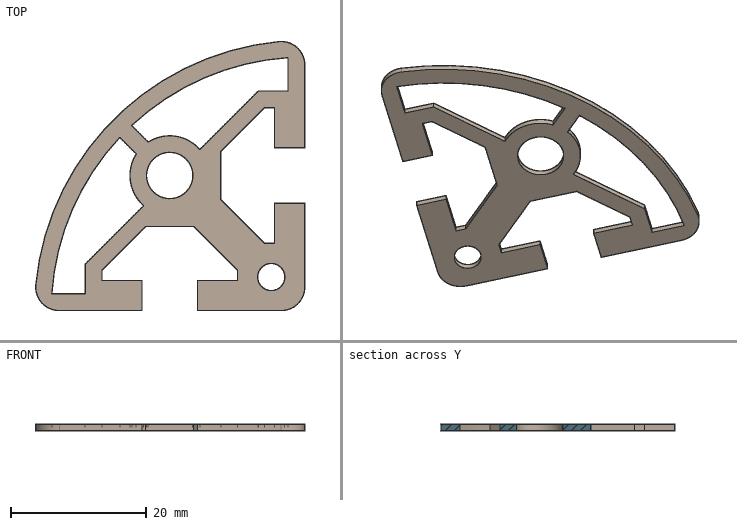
import cadquery as cq
import math

side = 39.82
thickness = 1.0
corner_radius = 3.5
outer_radius = corner_radius + math.hypot(side - corner_radius, corner_radius)

core = 20.0
core_hole_diameter = 6.8
core_boss_radius = 5.9
corner_hole_diameter = 4.0
corner_hole_offset = 4.98

slot_opening = 8.15
slot_inner_width = 20.0
slot_floor_width = 7.1
lip_thickness = 4.5
slot_shoulder_depth = 5.97
slot_depth = slot_shoulder_depth + (slot_inner_width - slot_floor_width) / 2

wall = 2.5
spoke_width = 2.5
pocket_floor = 32.5
pocket_floor_end = 6.9


def quarter_disc(radius):
    return (
        cq.Workplane("XY")
        .lineTo(-radius, 0)
        .radiusArc((0, radius), radius)
        .close()
        .extrude(thickness)
    )


def side_slot():
    """T-slot opening through the flat +X side."""
    half_profile = [
        (0, slot_opening / 2),
        (-lip_thickness, slot_opening / 2),
        (-lip_thickness, slot_inner_width / 2),
        (-slot_shoulder_depth, slot_inner_width / 2),
        (-slot_depth, slot_floor_width / 2),
    ]
    mirrored = [(x, -y) for x, y in reversed(half_profile)]
    return (
        cq.Workplane("XY", origin=(0, core, 0))
        .polyline(half_profile + mirrored)
        .close()
        .extrude(thickness)
    )


def swap_sides(body):
    """Mirror a body about the vertical plane y = -x."""
    return body.rotate((0, 0, 0), (0, 0, 1), 90).mirror("XZ")


def arc_pockets():
    """Openings behind the curved wall, split by the core boss and its spoke."""
    outline = [
        (-wall, side),
        (-wall, pocket_floor),
        (-pocket_floor_end, pocket_floor),
        (-pocket_floor, pocket_floor_end),
        (-pocket_floor, wall),
        (-side, wall),
        (-side, side),
    ]
    pockets = cq.Workplane("XY").polyline(outline).close().extrude(thickness)
    pockets = pockets.intersect(quarter_disc(outer_radius - wall))
    boss = cq.Workplane("XY").center(-core, core).circle(core_boss_radius).extrude(thickness)
    spoke = (
        cq.Workplane("XY", origin=(-core, core, 0))
        .transformed(rotate=(0, 0, 135))
        .rect(side, spoke_width)
        .extrude(thickness)
    )
    return pockets.cut(boss).cut(spoke)


def round_hole(offset, diameter):
    """Through hole on the symmetry line, equally far from both flat sides."""
    return cq.Workplane("XY").center(-offset, offset).circle(diameter / 2).extrude(thickness)


slot = side_slot()
result = (
    quarter_disc(outer_radius)
    .edges("|Z")
    .fillet(corner_radius)
    .cut(slot)
    .cut(swap_sides(slot))
    .cut(arc_pockets())
    .cut(round_hole(core, core_hole_diameter))
    .cut(round_hole(corner_hole_offset, corner_hole_diameter))
)